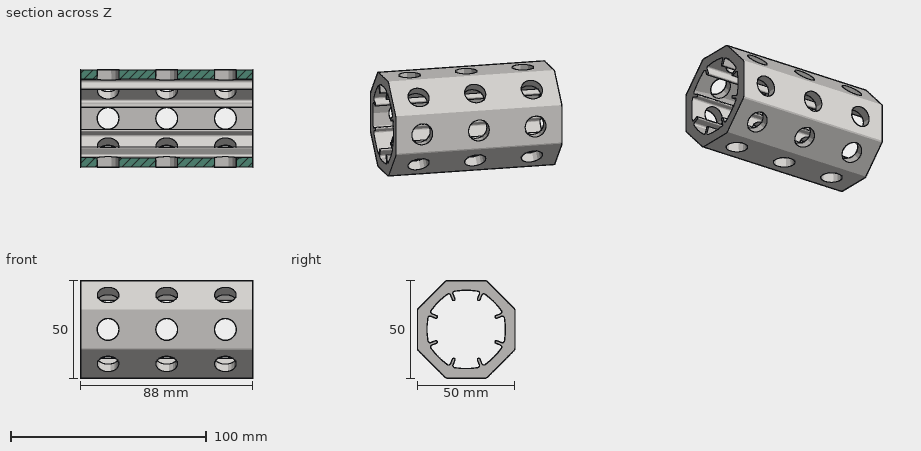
import cadquery as cq
import math

length = 88.0
across_flats = 50.0
side_count = 8
corner_radius = 2.0

bore_half_width = 20.0
bore_arc_radius = 35.0
rib_width = 1.5
rib_tip_distance = 16.0
rib_root_fillet = 1.0

hole_diameter = 11.0
hole_pitch = 30.0
hole_count = 3

side_angle = 360.0 / side_count
corner_angle = side_angle / 2
hole_positions = [(i - (hole_count - 1) / 2) * hole_pitch for i in range(hole_count)]

arc_center_offset = bore_arc_radius - bore_half_width
cos_corner = math.cos(math.radians(corner_angle))
sin_corner = math.sin(math.radians(corner_angle))
bore_corner_distance = (
    math.sqrt(bore_arc_radius**2 - (arc_center_offset * sin_corner) ** 2)
    - arc_center_offset * cos_corner
)


def polar(distance, angle):
    """Point in the YZ section at an angle in degrees from +Y."""
    return (
        distance * math.cos(math.radians(angle)),
        distance * math.sin(math.radians(angle)),
    )


def section_plane():
    """YZ plane at the -X end of the tube."""
    return cq.Workplane("YZ").workplane(offset=-length / 2)


def outer_body():
    corner_circle = across_flats / cos_corner
    octagon = section_plane().transformed(rotate=(0, 0, corner_angle)).polygon(side_count, corner_circle)
    return octagon.extrude(length).edges("|X").fillet(corner_radius)


def rib(angle):
    """Radial rib with a full-round tip, reaching from the tip into the tube wall."""
    half_width = rib_width / 2
    tip_center = rib_tip_distance + half_width
    wall_distance = across_flats / 2
    return (
        section_plane()
        .transformed(rotate=(0, 0, angle))
        .moveTo(wall_distance, -half_width)
        .lineTo(tip_center, -half_width)
        .threePointArc((rib_tip_distance, 0), (tip_center, half_width))
        .lineTo(wall_distance, half_width)
        .close()
        .extrude(length)
    )


def bore():
    """Open space inside the tube, with the ribs left out and their roots rounded."""
    outline = section_plane().moveTo(*polar(bore_corner_distance, -corner_angle))
    for i in range(side_count):
        angle = i * side_angle
        outline = outline.threePointArc(
            polar(bore_half_width, angle),
            polar(bore_corner_distance, angle + corner_angle),
        )
    space = outline.close().extrude(length)
    for i in range(side_count):
        space = space.cut(rib(corner_angle + i * side_angle))

    root_limit = (rib_tip_distance + bore_half_width) / 2
    root_edges = space.edges("|X").filter(
        lambda edge: math.hypot(edge.Center().y, edge.Center().z) > root_limit
    )
    return root_edges.fillet(rib_root_fillet)


def cross_holes(angle):
    """Row of holes through one flat and the flat opposite it."""
    row = (
        cq.Workplane("XY")
        .pushPoints([(x, 0) for x in hole_positions])
        .circle(hole_diameter / 2)
        .extrude(across_flats, both=True)
    )
    return row.rotate((0, 0, 0), (1, 0, 0), angle)


result = outer_body().cut(bore())
for i in range(side_count // 2):
    result = result.cut(cross_holes(i * side_angle))